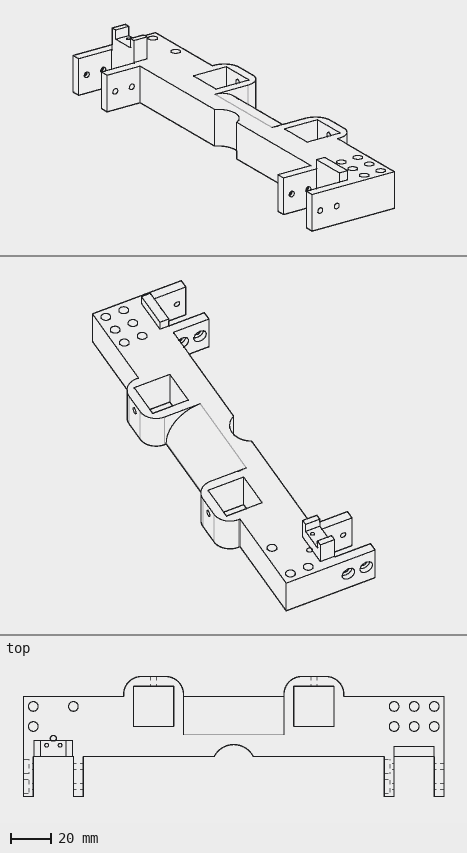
import cadquery as cq

length = 210.0
wall = length / 42
body_depth = 6 * wall
body_height = 4 * wall
left_end = -length / 2
right_end = length / 2

arm_reach = 4 * wall
bay_width = 4 * wall
bay_pitch = wall + bay_width
arm_hole_spacing = 2 * wall
screw_hole_diameter = 3.0
screw_head_diameter = 7.0
screw_head_depth = 3.0

socket_size = 4 * wall
socket_offset = 8 * wall
ear_width = socket_size + 2 * wall
ear_reach = 2 * wall
ear_corner_radius = 9.0
socket_pin_depth = wall
socket_pin_diameter = 3.2

back_round_radius = 19.1
notch_radius = 11.0
notch_axis_y = -wall

cradle_width = 19.1
cradle_depth = 8.0
cradle_floor = 7.0
cradle_height = 12.0
prong_width = 3.2
cradle_hole_diameter = 1.9
cradle_hole_spacing = 6.7
cradle_hole_y = 5.7
stop_depth = wall
stop_height = wall

peg_hole_diameter = 4.8
peg_hole_depth = body_height / 2
peg_pitch = 2 * wall
peg_columns = 3
wire_hole_diameter = 3.0
wire_hole_y = 9.0


def block(x_start, y_start, z_start, x_size, y_size, z_size):
    """Box given by its lowest corner and its sizes."""
    corner = (x_start, y_start, z_start)
    return cq.Workplane("XY").box(x_size, y_size, z_size, centered=False).translate(corner)


def vertical_hole(x, y, z_top, diameter, depth):
    """Cylinder going down from z_top."""
    return cq.Workplane("XY", origin=(x, y, z_top)).circle(diameter / 2).extrude(-depth)


def cross_hole(x_start, y, diameter, depth):
    """Cylinder going in +X from x_start at mid-height of the body."""
    start = (x_start, y, body_height / 2)
    return cq.Workplane("YZ", origin=start).circle(diameter / 2).extrude(depth)


def arm(x_start, counterbored):
    """Forward arm with two cross holes, counterbored on the -X face if asked for."""
    plate = block(x_start, -arm_reach, 0, wall, arm_reach, body_height)
    for y in (-arm_reach / 2 - arm_hole_spacing / 2, -arm_reach / 2 + arm_hole_spacing / 2):
        plate = plate.cut(cross_hole(x_start, y, screw_hole_diameter, wall))
        if counterbored:
            plate = plate.cut(cross_hole(x_start, y, screw_head_diameter, screw_head_depth))
    return plate


def ear(x_center):
    """Block with rounded back corners that surrounds a socket."""
    ear_depth = body_depth + ear_reach
    solid = block(x_center - ear_width / 2, 0, 0, ear_width, ear_depth, body_height)
    return solid.edges("|Z and >Y").fillet(ear_corner_radius)


def socket(x_center):
    """Square opening through the ear, with a pin hole through its back wall."""
    back_face = body_depth + ear_reach
    inner_face = back_face - wall
    opening = block(
        x_center - socket_size / 2, inner_face - socket_size, 0, socket_size, socket_size, body_height
    )
    pin_start = (x_center, back_face, body_height - socket_pin_depth)
    pin = cq.Workplane("XZ", origin=pin_start).circle(socket_pin_diameter / 2).extrude(2 * wall)
    return opening.union(pin)


def cradle(x_center):
    """U-shaped holder with two small holes in its floor."""
    x_start = x_center - cradle_width / 2
    holder = block(x_start, 0, body_height, cradle_width, cradle_depth, cradle_height)
    gap = block(
        x_start + prong_width,
        0,
        body_height + cradle_floor,
        cradle_width - 2 * prong_width,
        cradle_depth,
        cradle_height - cradle_floor,
    )
    holder = holder.cut(gap)
    for x in (x_center - cradle_hole_spacing / 2, x_center + cradle_hole_spacing / 2):
        floor_top = body_height + cradle_floor
        holder = holder.cut(vertical_hole(x, cradle_hole_y, floor_top, cradle_hole_diameter, cradle_floor))
    return holder


result = block(left_end, 0, 0, length, body_depth, body_height)
round_length = 2 * socket_offset - ear_width
back_strip = block(
    -round_length / 2,
    body_depth - back_round_radius,
    body_height - back_round_radius,
    round_length,
    back_round_radius,
    back_round_radius,
)
round_axis = (-round_length / 2, body_depth - back_round_radius, body_height - back_round_radius)
round_bar = cq.Workplane("YZ", origin=round_axis).circle(back_round_radius).extrude(round_length)
result = result.cut(back_strip.cut(round_bar))

for x in (-socket_offset, socket_offset):
    result = result.union(ear(x)).cut(socket(x))

left_bay_x = left_end
right_bay_x = right_end - bay_pitch - wall
for bay_x in (left_bay_x, right_bay_x):
    result = result.union(arm(bay_x, counterbored=True))
    result = result.union(arm(bay_x + bay_pitch, counterbored=False))

left_bay_center = left_bay_x + wall + bay_width / 2
result = result.union(cradle(left_bay_center))
result = result.union(block(right_bay_x + wall, 0, body_height, bay_width, stop_depth, stop_height))

result = result.cut(vertical_hole(0, notch_axis_y, body_height, 2 * notch_radius, body_height))

back_row = body_depth - wall
front_row = back_row - peg_pitch
left_column = left_end + wall
right_column = right_end - wall
peg_places = [(left_column, back_row), (left_column, front_row), (left_column + 2 * peg_pitch, back_row)]
for column in range(peg_columns):
    for y in (back_row, front_row):
        peg_places.append((right_column - column * peg_pitch, y))
for x, y in peg_places:
    result = result.cut(vertical_hole(x, y, body_height, peg_hole_diameter, peg_hole_depth))

result = result.cut(
    vertical_hole(left_bay_center, wire_hole_y, body_height, wire_hole_diameter, body_height)
)